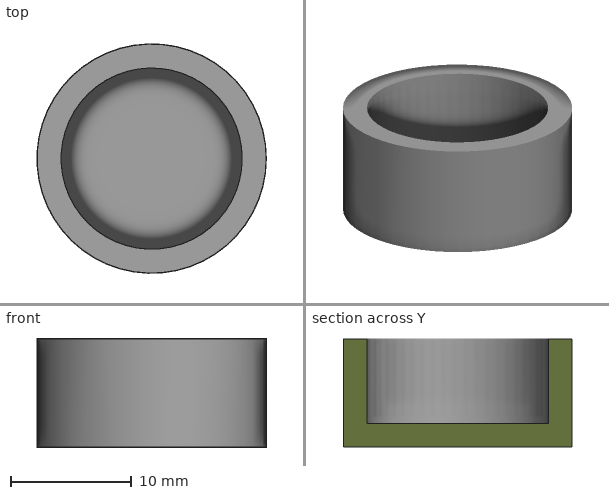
import cadquery as cq

outer_diameter = 19.0
height = 9.0
wall_thickness = 2.0
floor_thickness = 2.0

bore_diameter = outer_diameter - 2 * wall_thickness
bore_depth = height - floor_thickness


def make_body():
    """Solid cylinder standing on the XY plane."""
    return cq.Workplane("XY").circle(outer_diameter / 2).extrude(height)


def cut_bore(body):
    """Blind, flat-bottomed round bore, open at the top."""
    bore = (
        cq.Workplane("XY")
        .workplane(offset=floor_thickness)
        .circle(bore_diameter / 2)
        .extrude(bore_depth)
    )
    return body.cut(bore)


result = cut_bore(make_body())